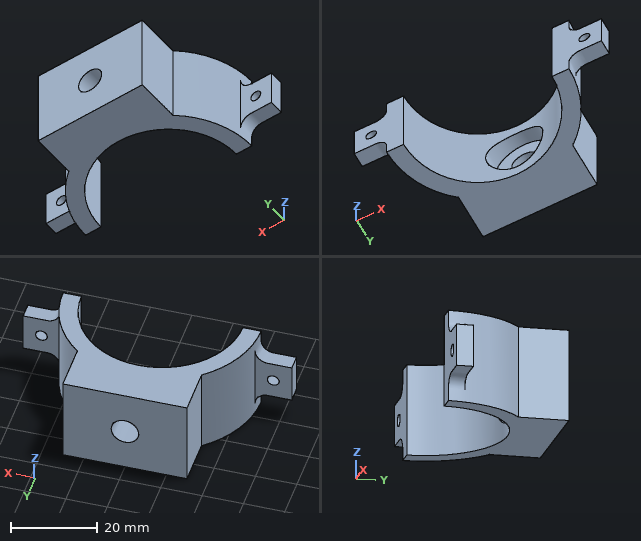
import cadquery as cq

total_width = 65.0
total_depth = 30.75
height = 22.0

bore_radius = 19.5
ring_radius = 24.0

block_width = 30.0

bolt_diameter = 6.6
counterbore_diameter = 15.0
counterbore_floor = 23.0

ear_height = 10.0
ear_thickness = 3.95
ear_fillet = 3.0
ear_hole_diameter = 2.8
ear_hole_spacing = 56.0


def centred_box(width, depth, box_height):
    """Box centred in X and Z, with its front face on Y = 0."""
    return cq.Workplane("XY").box(width, depth, box_height, centered=(True, False, True))


def cylinder_z(radius):
    """Full-height cylinder on the Z axis, centred in Z."""
    return cq.Workplane("XY").workplane(offset=-height / 2).circle(radius).extrude(height)


def cylinder_y(diameter, length, x=0):
    """Cylinder running from Y = 0 toward +Y at mid height."""
    return cq.Workplane("XZ").center(x, 0).circle(diameter / 2).extrude(-length)


half_disc = cylinder_z(ring_radius).intersect(centred_box(2 * ring_radius, ring_radius, height))
body = half_disc.union(centred_box(total_width, ear_thickness, ear_height))
ear_root_x = (ring_radius**2 - (ear_thickness / 2) ** 2) ** 0.5
root_half_size = 0.65
for side in (-1, 1):
    for end in (-1, 1):
        x = side * ear_root_x
        z = end * ear_height / 2
        root_edge = cq.selectors.BoxSelector(
            (x - root_half_size, 0, z - root_half_size),
            (x + root_half_size, ear_thickness, z + root_half_size),
        )
        body = body.edges(root_edge).fillet(ear_fillet)

body = body.union(centred_box(block_width, total_depth, height)).clean()
body = body.cut(cylinder_z(bore_radius))

body = body.cut(cylinder_y(bolt_diameter, total_depth))
body = body.cut(cylinder_y(counterbore_diameter, counterbore_floor))

for side in (-1, 1):
    body = body.cut(cylinder_y(ear_hole_diameter, ear_thickness, side * ear_hole_spacing / 2))

result = body